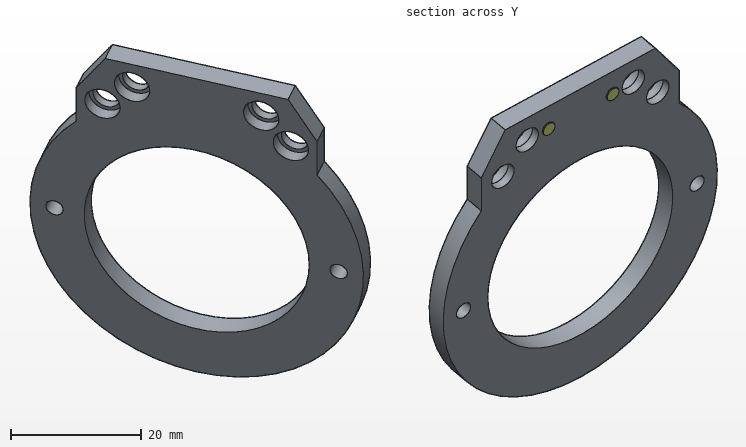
import cadquery as cq
import math

ring_diameter = 54.0
bore_diameter = 36.4
plate_thickness = 3.45
total_depth = 4.06

head_width = 39.0
head_top_width = 29.6
head_top_z = 32.78
head_shoulder_z = 25.5
neck_z = math.sqrt((ring_diameter / 2) ** 2 - (head_width / 2) ** 2)

side_hole_diameter = 2.8
side_hole_spacing = 46.0

screw_hole_diameter = 4.4
counterbore_diameter = 5.7
counterbore_depth = 2.0
screw_hole_places = [(10.45, 28.2), (15.25, 23.4)]

pin_diameter = 2.4
pin_spacing = 12.6
pin_z = 28.2
pin_height = total_depth - plate_thickness
pin_chamfer = 0.25


def mirrored(places):
    """Return the places on both sides of the centre plane X = 0."""
    return [(side * x, z) for x, z in places for side in (-1, 1)]


def cylinders(places, diameter, start_y, length):
    """Cylinders along +Y from start_y at the given (x, z) places."""
    plane = cq.Workplane("XZ", origin=(0, start_y, 0))
    return plane.pushPoints(places).circle(diameter / 2).extrude(-length)


def make_plate():
    outline = (
        cq.Workplane("XZ")
        .moveTo(-head_width / 2, neck_z)
        .lineTo(-head_width / 2, head_shoulder_z)
        .lineTo(-head_top_width / 2, head_top_z)
        .lineTo(head_top_width / 2, head_top_z)
        .lineTo(head_width / 2, head_shoulder_z)
        .lineTo(head_width / 2, neck_z)
        .threePointArc((0, -ring_diameter / 2), (-head_width / 2, neck_z))
        .close()
    )
    plate = outline.extrude(-plate_thickness)
    return plate.cut(cylinders([(0, 0)], bore_diameter, 0, plate_thickness))


def cut_side_holes(body):
    places = mirrored([(side_hole_spacing / 2, 0)])
    return body.cut(cylinders(places, side_hole_diameter, 0, plate_thickness))


def cut_screw_holes(body):
    places = mirrored(screw_hole_places)
    body = body.cut(cylinders(places, screw_hole_diameter, 0, plate_thickness))
    return body.cut(cylinders(places, counterbore_diameter, 0, counterbore_depth))


def add_pins(body):
    places = mirrored([(pin_spacing / 2, pin_z)])
    pins = cylinders(places, pin_diameter, plate_thickness, pin_height)
    return body.union(pins.faces(">Y").chamfer(pin_chamfer))


result = make_plate()
result = cut_side_holes(result)
result = cut_screw_holes(result)
result = add_pins(result)